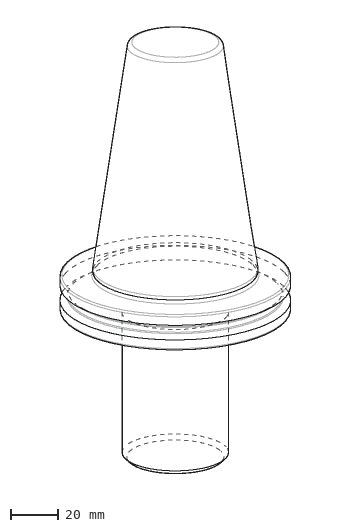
import cadquery as cq
import math

gauge_diameter = 69.85
taper_ratio = 7 / 24
taper_length = 101.6
taper_tip_fillet = 2.0

collar_height = 1.5
undercut_arc_radius = 0.95
undercut_foot_diameter = 70.6

flange_diameter = 97.5
flange_top = -3.2
flange_bottom = -19.1
flange_edge_fillet = 0.8
groove_center = -11.1
groove_floor_diameter = 91.0
groove_floor_width = 2.8
groove_floor_fillet = 0.6
groove_wall_angle = 30.0

shank_diameter = 45.0
shank_bottom = -85.0
shank_end_chamfer = 2.0
shank_root_fillet = 1.0


def revolved(outline):
    """Turn a half outline in the XZ plane about the Z axis."""
    return outline.close().revolve(360, (0, 0, 0), (0, 1, 0))


def make_taper():
    gauge_radius = gauge_diameter / 2
    tip_radius = (gauge_diameter - taper_ratio * taper_length) / 2
    outline = (
        cq.Workplane("XZ")
        .moveTo(0, flange_top)
        .lineTo(undercut_foot_diameter / 2, flange_top)
        .radiusArc((gauge_radius, -collar_height), undercut_arc_radius)
        .lineTo(gauge_radius, 0)
        .lineTo(tip_radius, taper_length)
        .lineTo(0, taper_length)
    )
    return revolved(outline).faces(">Z").edges().fillet(taper_tip_fillet)


def make_flange():
    disc = (
        cq.Workplane("XY", origin=(0, 0, flange_bottom))
        .circle(flange_diameter / 2)
        .extrude(flange_top - flange_bottom)
        .edges()
        .fillet(flange_edge_fillet)
    )
    return disc.cut(make_gripper_groove())


def make_gripper_groove():
    floor_radius = groove_floor_diameter / 2
    rim_radius = flange_diameter / 2
    floor_half_width = groove_floor_width / 2
    wall_angle = math.radians(groove_wall_angle)
    wall_rise = (rim_radius - floor_radius) * math.tan(wall_angle)
    rim_half_width = floor_half_width + wall_rise
    setback = groove_floor_fillet * math.tan((math.pi / 2 - wall_angle) / 2)
    floor_end = floor_half_width - setback
    wall_foot_radius = floor_radius + setback * math.cos(wall_angle)
    wall_foot_height = floor_half_width + setback * math.sin(wall_angle)
    outline = (
        cq.Workplane("XZ", origin=(0, 0, groove_center))
        .moveTo(floor_radius, -floor_end)
        .radiusArc((wall_foot_radius, -wall_foot_height), -groove_floor_fillet)
        .lineTo(rim_radius, -rim_half_width)
        .lineTo(rim_radius, rim_half_width)
        .lineTo(wall_foot_radius, wall_foot_height)
        .radiusArc((floor_radius, floor_end), -groove_floor_fillet)
    )
    return revolved(outline)


def make_shank():
    return (
        cq.Workplane("XY", origin=(0, 0, shank_bottom))
        .circle(shank_diameter / 2)
        .extrude(flange_bottom - shank_bottom)
        .faces("<Z")
        .edges()
        .chamfer(shank_end_chamfer)
    )


def make_root_fillet():
    """Ring that blends the shank into the underside of the flange."""
    shank_radius = shank_diameter / 2
    outline = (
        cq.Workplane("XZ")
        .moveTo(shank_radius, flange_bottom)
        .lineTo(shank_radius, flange_bottom - shank_root_fillet)
        .radiusArc((shank_radius + shank_root_fillet, flange_bottom), shank_root_fillet)
    )
    return revolved(outline)


result = make_taper().union(make_flange()).union(make_shank()).union(make_root_fillet())